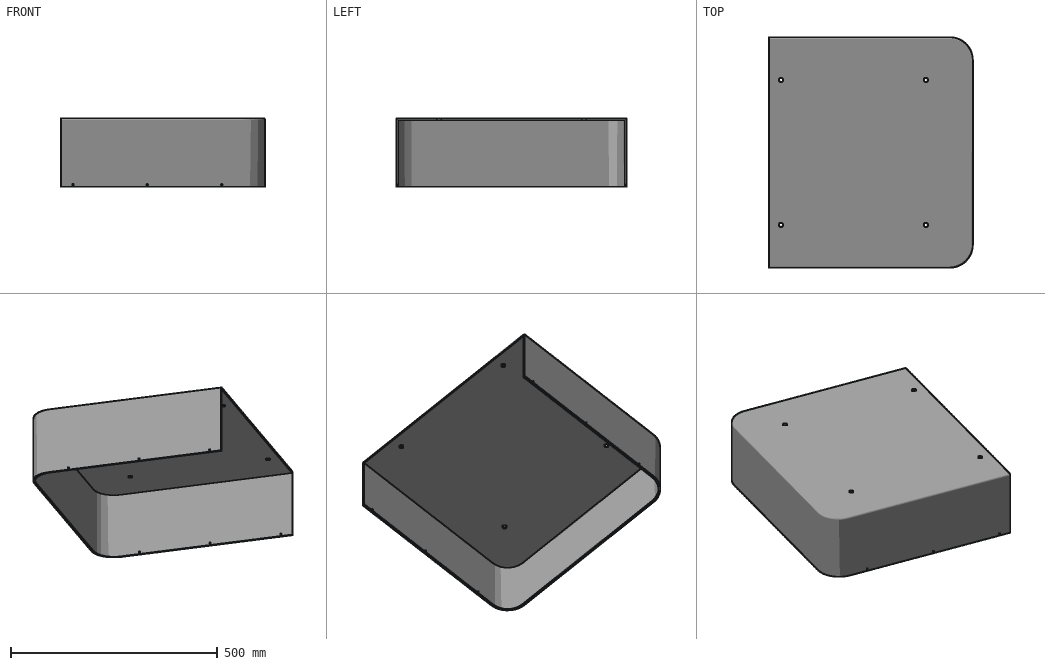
import cadquery as cq

length = 495.0
width = 560.0
height = 167.0
wall = 5.0
corner_radius = 57.0
top_edge_radius = 5.0

mount_hole_diameter = 10.0
mount_hole_spacing = 351.5
mount_hole_inset = 29.0

screw_hole_diameter = 3.0
screw_hole_count = 3
screw_hole_pitch = 180.5
screw_hole_inset = 29.0
screw_hole_height = 5.0


def rounded_block(block_length, block_width, block_height, radius):
    """Block starting at X = 0 and Z = 0 with its two upright +X edges rounded."""
    block = cq.Workplane("XY").box(block_length, block_width, block_height, centered=(False, True, False))
    return block.edges("|Z and >X").fillet(radius)


def make_shell():
    outer = rounded_block(length, width, height, corner_radius)
    outer = outer.faces(">Z").edges("not <X").fillet(top_edge_radius)
    cavity = rounded_block(length - wall, width - 2 * wall, height - wall, corner_radius - wall)
    return outer.cut(cavity)


def make_mount_holes():
    centre_x = mount_hole_inset + mount_hole_spacing / 2
    return (
        cq.Workplane("XY")
        .center(centre_x, 0)
        .rect(mount_hole_spacing, mount_hole_spacing, forConstruction=True)
        .vertices()
        .circle(mount_hole_diameter / 2)
        .extrude(height)
    )


def make_screw_holes():
    centres = [(screw_hole_inset + i * screw_hole_pitch, screw_hole_height) for i in range(screw_hole_count)]
    return (
        cq.Workplane("XZ")
        .pushPoints(centres)
        .circle(screw_hole_diameter / 2)
        .extrude(width / 2, both=True)
    )


result = make_shell().cut(make_mount_holes()).cut(make_screw_holes())